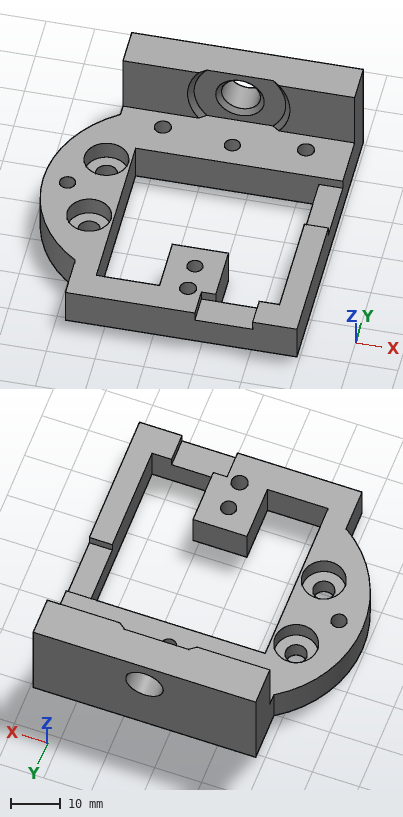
import cadquery as cq
import math

body_width = 47.55
body_length = 61.45
base_height = 8.0
total_height = 21.0
wall_thickness = 8.1
wall_front = body_length - wall_thickness
center_x = body_width / 2

lobe_reach = 11.25
lobe_radius = 25.0
lobe_y = 30.1
lobe_half_chord = math.sqrt(lobe_radius**2 - (lobe_radius - lobe_reach) ** 2)

window_left = 5.05
window_right = 42.65
window_front = 6.0
window_back = 42.4
tab_width = 11.55
tab_end = 17.8

step_depth = 2.0
front_step_left = 26.6
front_step_right = 38.45
side_step_front = 29.0

small_hole = 3.2
large_hole = 3.4
lobe_hole_x = -6.2
tab_inner_hole_y = 12.8
tab_outer_hole_y = 6.45
back_center_hole_y = 47.45
back_side_hole_y = 49.35
back_side_hole_offset = 14.7
bolt_hole = 4.4
bolt_head = 9.0
bolt_head_depth = 4.0
bolt_offset = 8.0

bore_z = (base_height + total_height) / 2
bore_diameter = 8.0
bore_chamfer = 1.0
recess_diameter = 21.0
recess_depth = 1.1


def box(x0, x1, y0, y1, z0, z1):
    """Block between two opposite corners."""
    return cq.Workplane("XY").box(x1 - x0, y1 - y0, z1 - z0, centered=False).translate((x0, y0, z0))


def wall_cone(diameter, front_y, depth):
    """45 degree cone narrowing into the wall from the plane at front_y."""
    radius = diameter / 2
    return cq.Workplane(cq.Solid.makeCone(
        radius, radius - depth, depth,
        pnt=cq.Vector(center_x, front_y, bore_z), dir=cq.Vector(0, 1, 0),
    ))


def vertical_holes(points, diameter, bottom=0):
    """Round cutters from the given level up to the top of the base."""
    return (
        cq.Workplane("XY", origin=(0, 0, bottom))
        .pushPoints(points).circle(diameter / 2).extrude(base_height - bottom)
    )


base = (
    cq.Workplane("XY")
    .lineTo(body_width, 0)
    .lineTo(body_width, body_length)
    .lineTo(0, body_length)
    .lineTo(0, lobe_y + lobe_half_chord)
    .threePointArc((-lobe_reach, lobe_y), (0, lobe_y - lobe_half_chord))
    .close()
    .extrude(base_height)
)
wall = box(0, body_width, wall_front, body_length, 0, total_height)

window = box(window_left, window_right, window_front, window_back, 0, base_height)
tab = box(center_x - tab_width / 2, center_x + tab_width / 2, window_front, tab_end, 0, base_height)
result = base.union(wall).cut(window.cut(tab))

step_floor = base_height - step_depth
result = result.cut(box(front_step_left, front_step_right, 0, window_front, step_floor, base_height))
result = result.cut(box(window_right, body_width, side_step_front, window_back, step_floor, base_height))

small_points = [
    (lobe_hole_x, lobe_y),
    (center_x, tab_inner_hole_y),
    (center_x, back_center_hole_y),
]
large_points = [
    (center_x, tab_outer_hole_y),
    (center_x - back_side_hole_offset, back_side_hole_y),
    (center_x + back_side_hole_offset, back_side_hole_y),
]
result = result.cut(vertical_holes(small_points, small_hole))
result = result.cut(vertical_holes(large_points, large_hole))

bolt_points = [(0, lobe_y - bolt_offset), (0, lobe_y + bolt_offset)]
result = result.cut(vertical_holes(bolt_points, bolt_hole))
result = result.cut(vertical_holes(bolt_points, bolt_head, base_height - bolt_head_depth))

above_base = box(0, body_width, wall_front, body_length, base_height, total_height)
result = result.cut(wall_cone(recess_diameter, wall_front, recess_depth).intersect(above_base))

bore = cq.Workplane(cq.Solid.makeCylinder(
    bore_diameter / 2, wall_thickness,
    pnt=cq.Vector(center_x, wall_front, bore_z), dir=cq.Vector(0, 1, 0),
))
bore_mouth = wall_cone(bore_diameter + 2 * bore_chamfer, wall_front + recess_depth, bore_chamfer)
result = result.cut(bore).cut(bore_mouth)